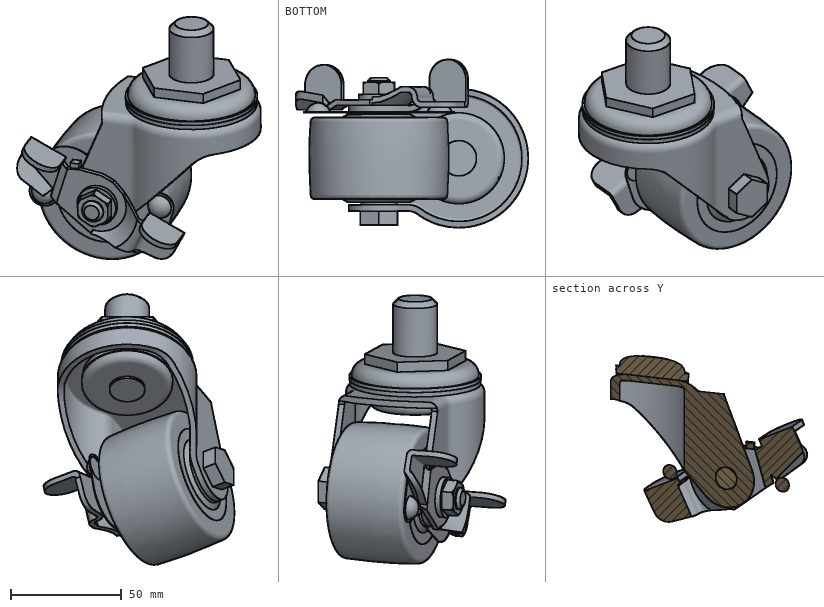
import cadquery as cq
import math

AXLE_X = -36.0
REACH = 114

STEM_TOP = 82.5
STEM_RADIUS = 10.0
STEM_CHAMFER = 2.5
HEX_TOP = 57.7
HEX_CORNERS = 46.2
CAP_TOP = 53.1
CAP_RADIUS = 28.7
CAP_ROUND = 5.7
FLANGE_TOP = 47.1
FLANGE_RADIUS = 29.8
SEAL_TOP = 45.4
SEAL_RADIUS = 29.6
NECK_RADIUS = 13.7
RACE_RADIUS = 20.1
RACE_BOTTOM = 32.5
RACE_ROUND = 3.3
RACE_LIP_RADIUS = 20.5
RACE_LIP_TOP = 37.2
RIVET_RADIUS = 8.0
RIVET_BOTTOM = 31.3

FORK_TOP = 43.3
FORK_WALL = 2.8
FORK_RADIUS = 31.3
FORK_TOP_ROUND = 4.1
FORK_BLEND = 7.0
LEG_OUTER = 23.8
LEG_INNER = LEG_OUTER - FORK_WALL
LEG_END_RADIUS = 13.7
SKIRT_BOTTOM = 31.0
SKIRT_ROUND = 12.5
LEG_FRONT_TOP = (-35.0, 39.0)
LEG_BACK_ANGLE = 45.5
FRONT_EDGE_X = -39.0
FRONT_EDGE_RADIUS = 74.1

WHEEL_RADIUS = 31.5
TREAD_EDGE_RADIUS = 30.8
WHEEL_HALF_WIDTH = 18.5
WHEEL_ROUND = 2.0
CORE_RADIUS = 21.9
CORE_RECESS = 0.1
HUB_BASE_RADIUS = 16.8
HUB_FACE_RADIUS = 14.0
HUB_HALF_WIDTH = 19.8
BOSS_RADIUS = 8.0

BOLT_RADIUS = 5.0
BOLT_CHAMFER = 1.5
BOLT_END = -36.4
HEAD_CORNERS = 19.5
HEAD_HEIGHT = 6.3
WASHER_RADIUS = 9.1
WASHER_HEIGHT = 2.5
NUT_CORNERS = 16.3
NUT_HEIGHT = 5.5
NUT_CHAMFER = 0.7

PLATE_THICKNESS = 0.3
DOME_OFFSET = 27.4
DOME_RADIUS = 5.5
DOME_HEIGHT = 4.0
DOME_RIM_RADIUS = 6.6
LOBE_CENTER = (15.8, -9.1)
LOBE_RADIUS = 14.8
LOBE_EDGE_ANGLE = 30.3
WEB_WAIST = (-4.0, -14.6)
WEB_INNER = (-10.3, -4.0)
LINK_WIDTH = 3.9
LINK_HEIGHT = 3.0
LINK_CENTER = (-11.5, 16.5)

PEDAL_THICKNESS = 2.5
PEDAL_TILT = 25.5
PEDAL_OUTER = LEG_OUTER + PEDAL_THICKNESS
LEFT_WING_OUTER = 24.3
RIGHT_WING_OUTER = 25.4
LEFT_BEND_START = -22.0
LEFT_BEND_END = -18.2
LEFT_BEND_TILT = 9.0
FLAP_REACH = 11.4
DISH_START = 3.4
DISH_RADIUS = 13.2
DISH_ANGLE = 40.0
RIDGE_OUTER = 32.3
RIDGE_X = 19.6
RIDGE_ROUND = 4.6

TAB_WIDTH = 18.2
TAB_INNER_BEND = 0.8
TAB_SHANK = 1.1
TAB_OUTER_BEND = 2.5
LEFT_TAB_START = -41.2
LEFT_TAB_TOP = 11.3
LEFT_TAB_END = 42.2
RIGHT_TAB_START = 22.2
RIGHT_TAB_TOP = 8.7
RIGHT_TAB_END = 44.6

FLAP_HINGE_LEFT = (LEFT_TAB_START, 2.0)
FLAP_HINGE_RIGHT = (-21.4, -5.8)
FLAP_CORNER_MID = (-39.7, -3.6)
FLAP_CORNER_END = (-34.9, -6.7)
FLAP_TIP = (-23.5, -9.5)
WING_ROOT_TOP = (-23.4, 8.0)
LEFT_BOTTOM = (-20.9, -9.7)
BOTTOM_EDGE = [(-15.5, -10.6), (2.5, -14.6), (6.7, -13.5), (19.6, -11.2), (34.4, -9.6)]
RIGHT_CORNER_MID = (38.5, -7.2)
RIGHT_CORNER_END = (40.2, -2.5)
RIGHT_NOTCH = [(23.4, 4.6), (17.8, 6.8)]
TOP_EDGE_RIGHT = (1.3, 13.5)
TOP_EDGE_MID = (-4.8, 13.5)
TOP_EDGE_LEFT = [(-15.0, 10.4), (-20.1, 7.4)]


def cylinder(radius, bottom, top):
    return cq.Workplane("XY").workplane(offset=bottom).circle(radius).extrude(top - bottom)


def cross_cylinder(radius, y_start, y_end):
    """A cylinder along Y, centred on the axle."""
    plane = cq.Workplane("XZ", origin=(AXLE_X, y_start, 0))
    return plane.circle(radius).extrude(y_start - y_end)


def cross_hexagon(corners, y_start, y_end):
    """A hexagon along Y, centred on the axle, with corners at the top and bottom."""
    plane = cq.Workplane("XZ", origin=(AXLE_X, y_start, 0))
    return plane.transformed(rotate=(0, 0, 90)).polygon(6, corners).extrude(y_start - y_end)


def make_swivel():
    stem = cylinder(STEM_RADIUS, HEX_TOP, STEM_TOP).faces(">Z").chamfer(STEM_CHAMFER)
    hex_plane = cq.Workplane("XY").workplane(offset=CAP_TOP)
    hexagon = hex_plane.polygon(6, HEX_CORNERS).extrude(HEX_TOP - CAP_TOP)
    cap = cylinder(CAP_RADIUS, FLANGE_TOP, CAP_TOP).faces(">Z").edges().fillet(CAP_ROUND)
    flange = cylinder(FLANGE_RADIUS, SEAL_TOP, FLANGE_TOP)
    seal = cylinder(SEAL_RADIUS, FORK_TOP, SEAL_TOP)
    neck = cylinder(NECK_RADIUS, RACE_BOTTOM, FORK_TOP)
    race = cylinder(RACE_RADIUS, RACE_LIP_TOP, FORK_TOP - FORK_WALL)
    lip = cylinder(RACE_LIP_RADIUS, RACE_BOTTOM, RACE_LIP_TOP).faces("<Z").edges().fillet(RACE_ROUND)
    rivet = cylinder(RIVET_RADIUS, RIVET_BOTTOM, RACE_BOTTOM)
    head = stem.union(hexagon).union(cap).union(flange).union(seal)
    return head.union(neck).union(race).union(lip).union(rivet)


def fork_block(radius, half_width, blend, top):
    """A round block with a straight arm toward -X, joined by concave blends."""
    center_y = half_width + blend
    center_x = -math.sqrt((radius + blend) ** 2 - center_y**2)
    on_circle = radius / (radius + blend)
    touch_x = center_x * on_circle
    touch_y = center_y * on_circle
    half_angle = (math.pi / 2 - math.atan2(center_y, -center_x)) / 2
    mid_x = center_x + blend * math.sin(half_angle)
    mid_y = center_y - blend * math.cos(half_angle)
    plan = (
        cq.Workplane("XY")
        .workplane(offset=-REACH)
        .moveTo(-REACH, -half_width)
        .lineTo(center_x, -half_width)
        .threePointArc((mid_x, -mid_y), (touch_x, -touch_y))
        .threePointArc((radius, 0), (touch_x, touch_y))
        .threePointArc((mid_x, mid_y), (center_x, half_width))
        .lineTo(-REACH, half_width)
        .close()
    )
    return plan.extrude(top + REACH)


def fork_side():
    """The side outline of the legs and skirt, as a block right across Y."""
    back_angle = math.radians(LEG_BACK_ANGLE)
    foot_x = AXLE_X + LEG_END_RADIUS * math.sin(back_angle)
    foot_z = -LEG_END_RADIUS * math.cos(back_angle)
    skirt_x = foot_x + (SKIRT_BOTTOM - foot_z) / math.tan(back_angle)

    dx = LEG_FRONT_TOP[0] - AXLE_X
    dz = LEG_FRONT_TOP[1]
    tangent_angle = math.atan2(dz, dx) + math.acos(LEG_END_RADIUS / math.hypot(dx, dz))
    tangent = (AXLE_X + LEG_END_RADIUS * math.cos(tangent_angle), LEG_END_RADIUS * math.sin(tangent_angle))

    outline = [
        (LEG_FRONT_TOP[0], FORK_TOP),
        LEG_FRONT_TOP,
        tangent,
        (AXLE_X, 0),
        (foot_x, foot_z),
        (skirt_x, SKIRT_BOTTOM),
        (REACH, SKIRT_BOTTOM),
        (REACH, FORK_TOP),
    ]
    legs = cq.Workplane("XZ").polyline(outline).close().extrude(REACH, both=True)
    skirt_corner = cq.selectors.NearestToPointSelector((skirt_x, 0, SKIRT_BOTTOM))
    legs = legs.edges("|Y").edges(skirt_corner).fillet(SKIRT_ROUND)
    leg_ends = cross_cylinder(LEG_END_RADIUS, REACH, -REACH)
    front_strip = cq.Workplane("XY").box(REACH, 2 * REACH, FORK_WALL, centered=(False, True, False))
    front_strip = front_strip.translate((FRONT_EDGE_X, 0, FORK_TOP - FORK_WALL))
    front_curve = cylinder(FRONT_EDGE_RADIUS, 0, FORK_TOP).translate((FRONT_EDGE_X + FRONT_EDGE_RADIUS, 0, 0))
    return legs.union(leg_ends).union(front_strip.intersect(front_curve))


def make_fork():
    outside = fork_block(FORK_RADIUS, LEG_OUTER, FORK_BLEND, FORK_TOP)
    outside = outside.faces(">Z").edges("not <X").fillet(FORK_TOP_ROUND)
    inside = fork_block(FORK_RADIUS - FORK_WALL, LEG_INNER, FORK_BLEND + FORK_WALL, FORK_TOP - FORK_WALL)
    inside = inside.faces(">Z").edges("not <X").fillet(FORK_TOP_ROUND - FORK_WALL)
    fork = outside.cut(inside).intersect(fork_side())
    fork = fork.cut(cylinder(NECK_RADIUS, 0, FORK_TOP))
    return fork.cut(cross_cylinder(BOLT_RADIUS, REACH, -REACH))


def make_wheel():
    core_face = WHEEL_HALF_WIDTH - CORE_RECESS
    boss_front = LEG_INNER - PLATE_THICKNESS
    profile = (
        cq.Workplane("XY")
        .moveTo(0, -WHEEL_HALF_WIDTH)
        .lineTo(TREAD_EDGE_RADIUS, -WHEEL_HALF_WIDTH)
        .threePointArc((WHEEL_RADIUS, 0), (TREAD_EDGE_RADIUS, WHEEL_HALF_WIDTH))
        .lineTo(0, WHEEL_HALF_WIDTH)
        .close()
    )
    tread = profile.revolve(360, (0, 0, 0), (0, 1, 0))
    tread = tread.faces("<Y or >Y").edges().fillet(WHEEL_ROUND).translate((AXLE_X, 0, 0))
    recess = cross_cylinder(CORE_RADIUS, WHEEL_HALF_WIDTH, core_face)
    tread = tread.cut(recess).cut(recess.mirror("XZ"))
    hub_outline = [
        (0, -HUB_HALF_WIDTH),
        (HUB_FACE_RADIUS, -HUB_HALF_WIDTH),
        (HUB_BASE_RADIUS, -core_face),
        (HUB_BASE_RADIUS, core_face),
        (HUB_FACE_RADIUS, HUB_HALF_WIDTH),
        (0, HUB_HALF_WIDTH),
    ]
    hub = cq.Workplane("XY").polyline(hub_outline).close().revolve(360, (0, 0, 0), (0, 1, 0))
    boss = cross_cylinder(BOSS_RADIUS, LEG_INNER, -boss_front)
    wheel = tread.union(hub.translate((AXLE_X, 0, 0))).union(boss)
    return wheel.cut(cross_cylinder(BOLT_RADIUS, REACH, -REACH))


def make_axle():
    washer_face = -LEG_OUTER - PEDAL_THICKNESS
    nut_face = washer_face - WASHER_HEIGHT
    nut_end = nut_face - NUT_HEIGHT
    shank = cross_cylinder(BOLT_RADIUS, LEG_OUTER, BOLT_END).faces("<Y").chamfer(BOLT_CHAMFER)
    head = cross_hexagon(HEAD_CORNERS, LEG_OUTER + HEAD_HEIGHT, LEG_OUTER)
    washer = cross_cylinder(WASHER_RADIUS, washer_face, nut_face)
    nut = cross_hexagon(NUT_CORNERS, nut_face, nut_end)
    nut_bevel = cross_cylinder(NUT_CORNERS / 2, nut_face, nut_end).faces("<Y").chamfer(NUT_CHAMFER)
    return shank.union(head).union(washer).union(nut.intersect(nut_bevel))


def plate_half():
    """One lobe of the domed plate with its dome, pointing toward +X."""
    plane = cq.Workplane("XZ", origin=(0, PLATE_THICKNESS - LEG_INNER, 0))
    edge = math.radians(LOBE_EDGE_ANGLE)
    touch = (LOBE_CENTER[0] - LOBE_RADIUS * math.sin(edge), LOBE_CENTER[1] - LOBE_RADIUS * math.cos(edge))
    opposite = (-WEB_INNER[0], -WEB_INNER[1])
    web_outline = [touch, WEB_WAIST, WEB_INNER, opposite, LOBE_CENTER]
    web = plane.polyline(web_outline).close().extrude(PLATE_THICKNESS)
    lobe = plane.center(*LOBE_CENTER).circle(LOBE_RADIUS).extrude(PLATE_THICKNESS)
    rim = plane.center(DOME_OFFSET, 0).circle(DOME_RIM_RADIUS).extrude(PLATE_THICKNESS)

    run = DOME_OFFSET - LOBE_CENTER[0]
    rise = -LOBE_CENTER[1]
    normal = math.atan2(rise, run) - math.acos((LOBE_RADIUS - DOME_RIM_RADIUS) / math.hypot(run, rise))
    rim_touch = (DOME_OFFSET + DOME_RIM_RADIUS * math.cos(normal), DOME_RIM_RADIUS * math.sin(normal))
    lobe_touch = (
        LOBE_CENTER[0] + LOBE_RADIUS * math.cos(normal),
        LOBE_CENTER[1] + LOBE_RADIUS * math.sin(normal),
    )
    side_outline = [LOBE_CENTER, lobe_touch, rim_touch, (DOME_OFFSET, 0)]
    side = plane.polyline(side_outline).close().extrude(PLATE_THICKNESS)
    ball_radius = (DOME_RADIUS**2 + DOME_HEIGHT**2) / (2 * DOME_HEIGHT)
    ball_y = ball_radius - LEG_INNER - DOME_HEIGHT
    ball = cq.Workplane("XY").sphere(ball_radius).translate((DOME_OFFSET, ball_y, 0))
    dome = ball.intersect(plane.rect(REACH, REACH).extrude(REACH))
    return web.union(lobe).union(rim).union(side).union(dome)


def make_plate():
    half = plate_half()
    return half.union(half.rotate((0, 0, 0), (0, 1, 0), 180))


def bent_sheet(outer_face):
    """A pedal sheet standing along Z, given the bends of its outer face in X and Y."""
    directions = []
    for (x1, y1), (x2, y2) in zip(outer_face, outer_face[1:]):
        directions.append(math.atan2(y2 - y1, x2 - x1))
    inner_face = []
    for (x, y), before, after in zip(outer_face, directions[:1] + directions, directions + directions[-1:]):
        middle = (before + after) / 2
        miter = PEDAL_THICKNESS / math.cos((after - before) / 2)
        inner_face.append((x - miter * math.sin(middle), y + miter * math.cos(middle)))
    outline = outer_face + inner_face[::-1]
    return cq.Workplane("XY").workplane(offset=-REACH / 2).polyline(outline).close().extrude(REACH)


def dish_block(depth):
    """All that lies behind the outer face of the dish and ridge, moved in by a depth."""
    slope = math.radians(DISH_ANGLE)
    flat_y = depth - PEDAL_OUTER
    cone_y = flat_y - (REACH - DISH_RADIUS) * math.tan(slope)
    cone_outline = [(0, 0), (0, flat_y), (DISH_RADIUS, flat_y), (REACH, cone_y), (REACH, 0)]
    cone = cq.Workplane("XY").polyline(cone_outline).close().revolve(360, (0, 0, 0), (0, 1, 0))

    ridge_round = RIDGE_ROUND - depth
    valley_round = RIDGE_OUTER - RIGHT_WING_OUTER - ridge_round
    wing_y = depth - RIGHT_WING_OUTER
    wall_x = RIDGE_X + ridge_round
    wall_y = RIDGE_ROUND - RIDGE_OUTER
    valley_x = wall_x + valley_round
    diagonal = math.sqrt(0.5)
    ridge_mid = (RIDGE_X + ridge_round * diagonal, wall_y - ridge_round * diagonal)
    valley_mid = (valley_x - valley_round * diagonal, wing_y - valley_round * (1 - diagonal))
    ridge = (
        cq.Workplane("XY")
        .workplane(offset=-REACH / 2)
        .moveTo(DISH_START, 0)
        .lineTo(DISH_START, wall_y - ridge_round)
        .lineTo(RIDGE_X, wall_y - ridge_round)
        .threePointArc(ridge_mid, (wall_x, wall_y))
        .threePointArc(valley_mid, (valley_x, wing_y))
        .lineTo(REACH, wing_y)
        .lineTo(REACH, 0)
        .close()
        .extrude(REACH)
    )
    return cone.intersect(ridge)


def wing_tab(start, top, wing_outer, tab_end):
    """A tab that turns from the top of a wing toward -Y and ends in a half circle."""
    wing_inner = wing_outer - PEDAL_THICKNESS
    bottom = top - PEDAL_THICKNESS
    profile = [
        (-wing_inner, top),
        (-tab_end, top),
        (-tab_end, bottom),
        (-wing_outer, bottom),
        (-wing_outer, bottom - TAB_SHANK),
        (-wing_inner, bottom - TAB_SHANK),
    ]
    tab = cq.Workplane("YZ", origin=(start, 0, 0)).polyline(profile).close().extrude(TAB_WIDTH)
    outer_bend = cq.selectors.NearestToPointSelector((start + TAB_WIDTH / 2, -wing_inner, top))
    tab = tab.edges("|X").edges(outer_bend).fillet(TAB_OUTER_BEND)
    inner_bend = cq.selectors.NearestToPointSelector((start + TAB_WIDTH / 2, -wing_outer, bottom))
    tab = tab.edges("|X").edges(inner_bend).fillet(TAB_INNER_BEND)
    half_width = TAB_WIDTH / 2
    end_plan = (
        cq.Workplane("XY")
        .workplane(offset=-REACH / 2)
        .moveTo(start, 0)
        .lineTo(start, half_width - tab_end)
        .threePointArc((start + half_width, -tab_end), (start + TAB_WIDTH, half_width - tab_end))
        .lineTo(start + TAB_WIDTH, 0)
        .close()
        .extrude(REACH)
    )
    return tab.intersect(end_plan)


def make_left_wing():
    """The left wing, whose lower corner turns outward as a flap."""
    hinge_run = FLAP_HINGE_RIGHT[0] - FLAP_HINGE_LEFT[0]
    hinge_drop = FLAP_HINGE_LEFT[1] - FLAP_HINGE_RIGHT[1]
    hinge_angle = math.degrees(math.atan2(hinge_drop, hinge_run))
    sheet = bent_sheet(
        [(-FLAP_REACH, -LEFT_WING_OUTER - FLAP_REACH), (0, -LEFT_WING_OUTER), (REACH, -LEFT_WING_OUTER)]
    )
    sheet = sheet.rotate((0, 0, 0), (0, 1, 0), hinge_angle - 90)
    sheet = sheet.translate((FLAP_HINGE_LEFT[0], 0, FLAP_HINGE_LEFT[1]))
    tab_bottom = LEFT_TAB_TOP - PEDAL_THICKNESS
    outline = (
        cq.Workplane("XZ")
        .moveTo(LEFT_TAB_START, tab_bottom)
        .lineTo(*FLAP_HINGE_LEFT)
        .threePointArc(FLAP_CORNER_MID, FLAP_CORNER_END)
        .lineTo(*FLAP_TIP)
        .lineTo(*FLAP_HINGE_RIGHT)
        .lineTo(*WING_ROOT_TOP)
        .lineTo(LEFT_TAB_START + TAB_WIDTH, tab_bottom)
        .close()
    )
    return sheet.intersect(outline.extrude(REACH))


def make_pedal_center():
    """The middle of the pedal with its left bend, its dish and ridge, and the right wing."""
    left_sheet = bent_sheet(
        [
            (-REACH, -LEFT_WING_OUTER),
            (LEFT_BEND_START, -LEFT_WING_OUTER),
            (LEFT_BEND_END, -PEDAL_OUTER),
            (REACH, -PEDAL_OUTER),
        ]
    )
    left_sheet = left_sheet.rotate((0, 0, 0), (0, 1, 0), -LEFT_BEND_TILT)
    dish_side = cq.Workplane("XY").box(REACH, REACH, REACH).translate((DISH_START + REACH / 2, 0, 0))
    left_sheet = left_sheet.cut(dish_side)
    right_sheet = dish_block(0).cut(dish_block(PEDAL_THICKNESS))
    tab_bottom = RIGHT_TAB_TOP - PEDAL_THICKNESS
    outline = cq.Workplane("XZ").moveTo(*LEFT_BOTTOM)
    for point in BOTTOM_EDGE:
        outline = outline.lineTo(*point)
    outline = outline.threePointArc(RIGHT_CORNER_MID, RIGHT_CORNER_END)
    outline = outline.lineTo(RIGHT_TAB_START + TAB_WIDTH, tab_bottom).lineTo(RIGHT_TAB_START, tab_bottom)
    for point in RIGHT_NOTCH:
        outline = outline.lineTo(*point)
    outline = outline.lineTo(*TOP_EDGE_RIGHT).lineTo(*TOP_EDGE_MID)
    for point in TOP_EDGE_LEFT:
        outline = outline.lineTo(*point)
    outline = outline.lineTo(*WING_ROOT_TOP).lineTo(*FLAP_HINGE_RIGHT).close()
    return left_sheet.union(right_sheet).intersect(outline.extrude(REACH))


def make_pedal():
    left_tab = wing_tab(LEFT_TAB_START, LEFT_TAB_TOP, LEFT_WING_OUTER, LEFT_TAB_END)
    right_tab = wing_tab(RIGHT_TAB_START, RIGHT_TAB_TOP, RIGHT_WING_OUTER, RIGHT_TAB_END)
    pedal = make_pedal_center().union(make_left_wing()).union(left_tab).union(right_tab)
    return pedal.rotate((0, 0, 0), (0, 1, 0), PEDAL_TILT)


def make_link():
    """The strip beside the leg that joins the plate to the pedal."""
    inner = LEG_INNER - PLATE_THICKNESS
    outer = PEDAL_OUTER - PEDAL_THICKNESS / 2
    link = cq.Workplane("XY").box(LINK_WIDTH, outer - inner, LINK_HEIGHT)
    return link.translate((LINK_CENTER[0], -(inner + outer) / 2, LINK_CENTER[1]))


def make_brake():
    brake = make_plate().union(make_pedal()).union(make_link()).translate((AXLE_X, 0, 0))
    return brake.cut(cross_cylinder(BOLT_RADIUS, REACH, -REACH))


swivel = make_swivel()
fork = make_fork()
wheel = make_wheel()
axle = make_axle()
brake = make_brake()
bodies = [swivel, fork, wheel, axle, brake]
result = cq.Compound.makeCompound([body.solids().val() for body in bodies])